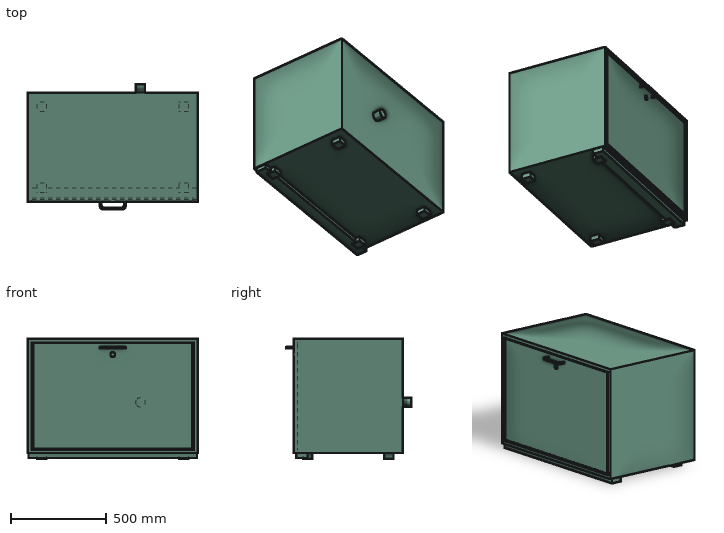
import cadquery as cq

cabinet_width = 893.0
cabinet_depth = 574.0
cabinet_height = 600.0
foot_height = 30.0
front_y = -cabinet_depth / 2
back_y = cabinet_depth / 2
cabinet_top = foot_height + cabinet_height

frame_side = 20.0
frame_top = 20.0
frame_bottom = 17.0
door_thickness = 20.0

gap_side = 10.0
gap_top = 4.0
gap_bottom = 7.0

pipe_diameter = 50.0
pipe_length = 45.0
pipe_x = 146.0
pipe_z = foot_height + 266.0

handle_diameter = 11.0
handle_width = 137.5
handle_reach = 39.0
handle_bend_radius = 15.0
handle_z = cabinet_top - 47.0

lock_diameter = 25.0
lock_height = 0.45
lock_z = cabinet_top - 83.0

foot_size = 50.0
foot_inset = 49.0

plinth_side_inset = 4.0
plinth_front_inset = 13.0
plinth_depth = 60.0
plinth_height = 27.0


def box_between(low, high):
    """Box spanning two opposite corners."""
    size = [b - a for a, b in zip(low, high)]
    return cq.Workplane("XY").box(*size, centered=False).translate(low)


def cylinder_along_y(diameter, start, length):
    """Round bar starting at a point; a negative length runs toward the front."""
    direction = cq.Vector(0, 1 if length > 0 else -1, 0)
    bar = cq.Solid.makeCylinder(diameter / 2, abs(length), cq.Vector(*start), direction)
    return cq.Workplane(bar)


def make_front_panel(side, bottom, top):
    """Panel flush with the cabinet front, set in from the sides, bottom and top."""
    half_width = cabinet_width / 2 - side
    return box_between(
        (-half_width, front_y, foot_height + bottom),
        (half_width, front_y + door_thickness, cabinet_top - top),
    )


def make_cabinet():
    """Closed box with the door recess in front and the vent pipe behind."""
    body = box_between(
        (-cabinet_width / 2, front_y, foot_height),
        (cabinet_width / 2, back_y, cabinet_top),
    )
    recess = make_front_panel(frame_side, frame_bottom, frame_top)
    pipe = cylinder_along_y(pipe_diameter, (pipe_x, back_y, pipe_z), pipe_length)
    return body.cut(recess).union(pipe)


def make_handle():
    """Round bar bent into a U, with both ends on the door face."""
    half_span = (handle_width - handle_diameter) / 2
    reach = handle_reach - handle_diameter / 2
    bar_y = front_y - reach
    bend_y = bar_y + handle_bend_radius
    bend_x = half_span - handle_bend_radius
    path = (
        cq.Workplane("XY", origin=(0, 0, handle_z))
        .moveTo(-half_span, front_y)
        .lineTo(-half_span, bend_y)
        .radiusArc((-bend_x, bar_y), -handle_bend_radius)
        .lineTo(bend_x, bar_y)
        .radiusArc((half_span, bend_y), -handle_bend_radius)
        .lineTo(half_span, front_y)
    )
    return (
        cq.Workplane("XZ", origin=(-half_span, front_y, handle_z))
        .circle(handle_diameter / 2)
        .sweep(path)
    )


def make_door():
    """Flush door panel with its bar handle and lock face."""
    panel = make_front_panel(
        frame_side + gap_side, frame_bottom + gap_bottom, frame_top + gap_top
    )
    lock = cylinder_along_y(lock_diameter, (0, front_y, lock_z), -lock_height)
    return panel.union(make_handle()).union(lock)


def make_foot(x, y):
    """Square block from the floor to the cabinet bottom, centred on x and y."""
    return (
        cq.Workplane("XY", origin=(x, y, 0))
        .rect(foot_size, foot_size)
        .extrude(foot_height)
    )


def make_feet():
    """Four feet, one near each corner of the cabinet."""
    foot_x = cabinet_width / 2 - foot_inset - foot_size / 2
    foot_y = cabinet_depth / 2 - foot_inset - foot_size / 2
    return [make_foot(x, y) for x in (-foot_x, foot_x) for y in (-foot_y, foot_y)]


def make_plinth(feet):
    """Rail under the front edge, notched at the back around the front feet."""
    half_width = cabinet_width / 2 - plinth_side_inset
    plinth_front = front_y + plinth_front_inset
    plinth = box_between(
        (-half_width, plinth_front, foot_height - plinth_height),
        (half_width, plinth_front + plinth_depth, foot_height),
    )
    for foot in feet:
        plinth = plinth.cut(foot)
    return plinth


cabinet = make_cabinet()
door = make_door()
feet = make_feet()
plinth = make_plinth(feet)

result = cq.Compound.makeCompound(
    [cabinet.solids().val(), door.solids().val(), plinth.solids().val(), *[foot.val() for foot in feet]]
)